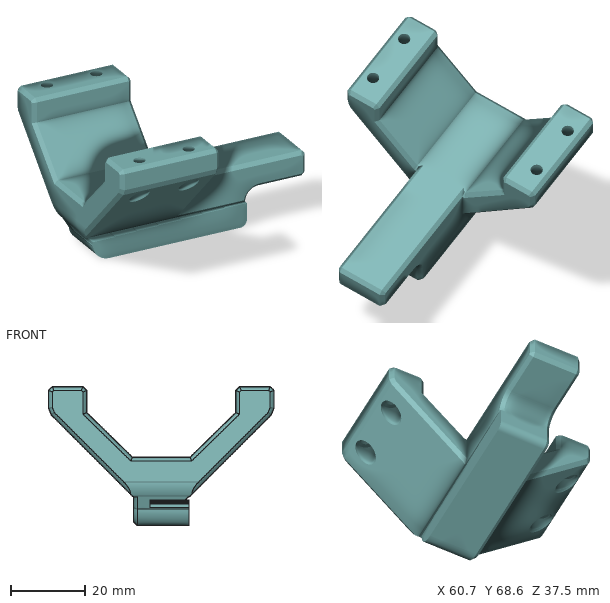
import cadquery as cq
import math

CHAMFER = 1.0
NOSE_RADIUS = 6.0
KEEL_FRONT_RADIUS = 5.0

CRADLE_WIDTH = 60.7
CRADLE_DEPTH = 30.1
TOP_Z = 37.5
SEAT_Z = 18.45
SEAT_HALF_WIDTH = 7.75
PAD_INNER_X = 20.05
PAD_INNER_BOTTOM_Z = 30.5
PAD_OUTER_BOTTOM_Z = 30.6

LENGTH = 68.6
TONGUE_HALF_WIDTH = 7.5
TAIL_BOTTOM_Z = 10.9
KEEL_BACK_Y = 50.45
KEEL_BACK_RADIUS = 2.0
TAIL_RADIUS = 4.0
KEEL_FRONT_Y = 3.5

NOSE_TOP_Z = 11.8
SLOPE_TOP_Z = 8.0
SLOPE_BOTTOM_Z = 4.45

SLOT_X = -3.0
SLOT_LEDGE_Z = 4.95
SLOT_FRONT_Z = 5.8
SLOT_TOP_Z = TAIL_BOTTOM_Z - TAIL_RADIUS
SLOT_STEPS = 6

HOLE_X = 26.5
HOLE_SPACING = 15.0
HOLE_DIAMETER = 3.3
BORE_DIAMETER = 5.5
BORE_RIM_CHAMFER = 0.5
HOLE_LENGTH = 5.0

HALF_WIDTH = CRADLE_WIDTH / 2
DIAGONAL = math.sqrt(0.5)


def round_depth(radius, height):
    """Distance a round has moved inward, at a height away from its tangent point."""
    return radius - math.sqrt(radius**2 - height**2)


def arc_middle(start, end, center):
    """Point halfway along the round about a center between two of its points."""
    along_y = (start[0] + end[0]) / 2 - center[0]
    along_z = (start[1] + end[1]) / 2 - center[1]
    radius = math.hypot(start[0] - center[0], start[1] - center[1])
    stretch = radius / math.hypot(along_y, along_z)
    return (center[0] + along_y * stretch, center[1] + along_z * stretch)


NOSE_TOP = (0, NOSE_TOP_Z)
SLOPE_TOP = (round_depth(NOSE_RADIUS, NOSE_TOP_Z - SLOPE_TOP_Z), SLOPE_TOP_Z)
SLOPE_BOTTOM = (
    KEEL_FRONT_Y + round_depth(KEEL_FRONT_RADIUS, KEEL_FRONT_RADIUS - SLOPE_BOTTOM_Z),
    SLOPE_BOTTOM_Z,
)
KEEL_FRONT_CENTER = (KEEL_FRONT_Y + KEEL_FRONT_RADIUS, KEEL_FRONT_RADIUS)
KEEL_BOTTOM_FRONT = (KEEL_FRONT_CENTER[0], 0)
NOSE_MIDDLE = arc_middle(NOSE_TOP, SLOPE_TOP, (NOSE_RADIUS, NOSE_TOP_Z))
KEEL_FRONT_MIDDLE = arc_middle(SLOPE_BOTTOM, KEEL_BOTTOM_FRONT, KEEL_FRONT_CENTER)


def slope_y(z):
    """Y of the straight nose slope at height z."""
    share = (z - SLOPE_TOP_Z) / (SLOPE_BOTTOM_Z - SLOPE_TOP_Z)
    return SLOPE_TOP[0] + share * (SLOPE_BOTTOM[0] - SLOPE_TOP[0])


def side_sketch(x):
    """YZ sketch plane at x, extruding toward +X."""
    return cq.Workplane("YZ", origin=(x, 0, 0))


def make_cradle():
    arm_foot = (TONGUE_HALF_WIDTH, PAD_OUTER_BOTTOM_Z - (HALF_WIDTH - TONGUE_HALF_WIDTH))
    right = [
        arm_foot,
        (HALF_WIDTH, PAD_OUTER_BOTTOM_Z),
        (HALF_WIDTH, TOP_Z),
        (PAD_INNER_X, TOP_Z),
        (PAD_INNER_X, PAD_INNER_BOTTOM_Z),
        (SEAT_HALF_WIDTH, SEAT_Z),
    ]
    left = [(-x, z) for x, z in reversed(right)]
    cradle = cq.Workplane("XZ").polyline(right + left).close().extrude(-CRADLE_DEPTH)
    pad_top_edges = cradle.faces(">Z").edges("|Y")
    pad_outer_edges = cradle.faces("<X or >X").edges("|Y").edges("<Z")
    cradle = cradle.newObject(pad_top_edges.vals() + pad_outer_edges.vals()).chamfer(CHAMFER)
    cradle = cradle.faces("<Y or >Y").edges().chamfer(CHAMFER)

    front_waste = (
        side_sketch(-HALF_WIDTH)
        .moveTo(*NOSE_TOP)
        .threePointArc(NOSE_MIDDLE, SLOPE_TOP)
        .lineTo(*SLOPE_BOTTOM)
        .lineTo(0, SLOPE_BOTTOM_Z)
        .close()
        .extrude(CRADLE_WIDTH)
    )
    return cradle.cut(front_waste)


def draw_tail(sketch):
    """Continue an outline from the keel's back wall around the tail to the top of the nose."""
    fillet_reach = TAIL_RADIUS * (1 - DIAGONAL)
    return (
        sketch.threePointArc(
            (KEEL_BACK_Y + fillet_reach, TAIL_BOTTOM_Z - fillet_reach),
            (KEEL_BACK_Y + TAIL_RADIUS, TAIL_BOTTOM_Z),
        )
        .lineTo(LENGTH - CHAMFER, TAIL_BOTTOM_Z)
        .lineTo(LENGTH, TAIL_BOTTOM_Z + CHAMFER)
        .lineTo(LENGTH, SEAT_Z - CHAMFER)
        .lineTo(LENGTH - CHAMFER, SEAT_Z)
        .lineTo(CHAMFER, SEAT_Z)
        .lineTo(0, SEAT_Z - CHAMFER)
        .lineTo(*NOSE_TOP)
        .threePointArc(NOSE_MIDDLE, SLOPE_TOP)
    )


def draw_keel(sketch):
    """Continue an outline from the foot of the nose slope around the keel to its back wall."""
    corner_reach = KEEL_BACK_RADIUS * (1 - DIAGONAL)
    return (
        sketch.threePointArc(KEEL_FRONT_MIDDLE, KEEL_BOTTOM_FRONT)
        .lineTo(KEEL_BACK_Y - KEEL_BACK_RADIUS, 0)
        .threePointArc((KEEL_BACK_Y - corner_reach, corner_reach), (KEEL_BACK_Y, KEEL_BACK_RADIUS))
        .lineTo(KEEL_BACK_Y, SLOT_TOP_Z)
    )


def make_solid_side():
    """Full-height part of the tongue, on the -X side of the slot."""
    outline = draw_tail(draw_keel(side_sketch(-TONGUE_HALF_WIDTH).moveTo(*SLOPE_BOTTOM)))
    side = outline.close().extrude(SLOT_X + TONGUE_HALF_WIDTH)
    return side.faces("<X").edges().chamfer(CHAMFER)


def make_upper_side():
    """Part of the tongue above the slot, chamfered all around its +X face except on the slope."""
    slot_mouth = (slope_y(SLOT_TOP_Z), SLOT_TOP_Z)
    outline = draw_tail(side_sketch(SLOT_X).moveTo(*slot_mouth).lineTo(KEEL_BACK_Y, SLOT_TOP_Z))
    side = outline.close().extrude(TONGUE_HALF_WIDTH - SLOT_X)
    slope_box = cq.selectors.BoxSelector((0, -CHAMFER, 0), (LENGTH, SLOPE_BOTTOM[0], SEAT_Z - CHAMFER))
    return side.faces(">X").edges(cq.selectors.InverseSelector(slope_box)).chamfer(CHAMFER)


def make_keel():
    """Part of the keel below the slot: a ledge and a wall in front, then equal steps up to the back."""
    tread = (KEEL_BACK_Y - KEEL_FRONT_Y) / (SLOT_STEPS + 1)
    riser = (SLOT_TOP_Z - SLOT_FRONT_Z) / SLOT_STEPS
    outline = draw_keel(side_sketch(SLOT_X).moveTo(*SLOPE_BOTTOM))
    for step in range(SLOT_STEPS, 0, -1):
        y = KEEL_FRONT_Y + step * tread
        top_z = SLOT_FRONT_Z + step * riser
        outline = outline.lineTo(y, top_z).lineTo(y, top_z - riser)
    outline = (
        outline.lineTo(KEEL_FRONT_Y, SLOT_FRONT_Z)
        .lineTo(KEEL_FRONT_Y, SLOT_LEDGE_Z)
        .lineTo(slope_y(SLOT_LEDGE_Z), SLOT_LEDGE_Z)
    )
    return outline.close().extrude(TONGUE_HALF_WIDTH - SLOT_X)


def make_seat_notch():
    """Mitred end of the tongue's +X top chamfer, where it runs out into the seat."""
    inner_x = TONGUE_HALF_WIDTH - CHAMFER
    back_y = CRADLE_DEPTH - CHAMFER
    wedge = (
        cq.Workplane("XZ")
        .moveTo(inner_x, SEAT_Z)
        .lineTo(TONGUE_HALF_WIDTH, SEAT_Z)
        .lineTo(TONGUE_HALF_WIDTH, SEAT_Z - CHAMFER)
        .close()
        .extrude(-CRADLE_DEPTH)
    )
    mitre = (
        cq.Workplane("XY", origin=(0, 0, SEAT_Z - CHAMFER))
        .polyline([
            (inner_x, back_y - CHAMFER),
            (TONGUE_HALF_WIDTH, back_y),
            (TONGUE_HALF_WIDTH, CRADLE_DEPTH),
            (inner_x, CRADLE_DEPTH),
        ])
        .close()
        .extrude(CHAMFER)
    )
    return wedge.intersect(mitre)


def cut_screw_holes(body):
    """Through holes in the pads, with head bores from below whose slanted rims are chamfered."""
    hole_places = [
        (side * HOLE_X, CRADLE_DEPTH / 2 + end * HOLE_SPACING / 2)
        for side in (-1, 1)
        for end in (-1, 1)
    ]
    top = cq.Workplane("XY", origin=(0, 0, TOP_Z)).pushPoints(hole_places)
    body = body.cut(top.circle(HOLE_DIAMETER / 2).extrude(-TOP_Z))
    bore_top = cq.Workplane("XY", origin=(0, 0, TOP_Z - HOLE_LENGTH)).pushPoints(hole_places)
    body = body.cut(bore_top.circle(BORE_DIAMETER / 2).extrude(-TOP_Z))
    rims = cq.selectors.BoxSelector((-HALF_WIDTH, 0, 0), (HALF_WIDTH, CRADLE_DEPTH, PAD_INNER_BOTTOM_Z))
    return body.edges(rims).edges("%ELLIPSE").edges(">>Z").chamfer(BORE_RIM_CHAMFER)


cradle = cut_screw_holes(make_cradle())
tongue = make_solid_side().union(make_upper_side()).union(make_keel())
notch = make_seat_notch()
result = cradle.union(tongue).cut(notch).cut(notch.mirror("YZ"))